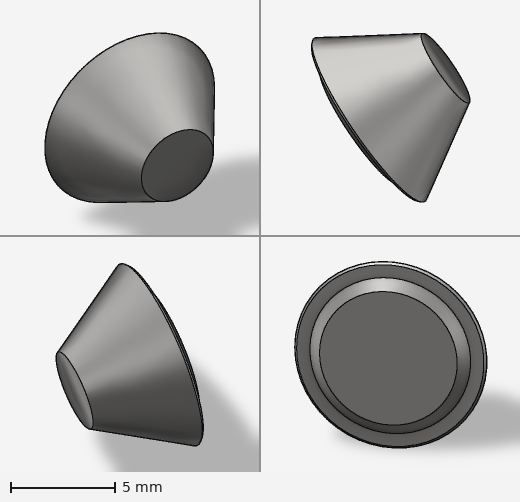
import cadquery as cq

total_length = 5.0
rim_radius = 4.725
tip_radius = 2.0

boss_height = 0.4
boss_face_radius = 3.38
boss_base_radius = 3.95

rim_chamfer = 0.12
rim_position = boss_height + rim_chamfer

profile = (
    cq.Workplane("XY")
    .moveTo(0, 0)
    .lineTo(0, boss_face_radius)
    .lineTo(boss_height, boss_base_radius)
    .lineTo(boss_height, rim_radius - rim_chamfer)
    .lineTo(rim_position, rim_radius)
    .lineTo(total_length, tip_radius)
    .lineTo(total_length, 0)
    .close()
)

result = profile.revolve(360, (0, 0, 0), (1, 0, 0))